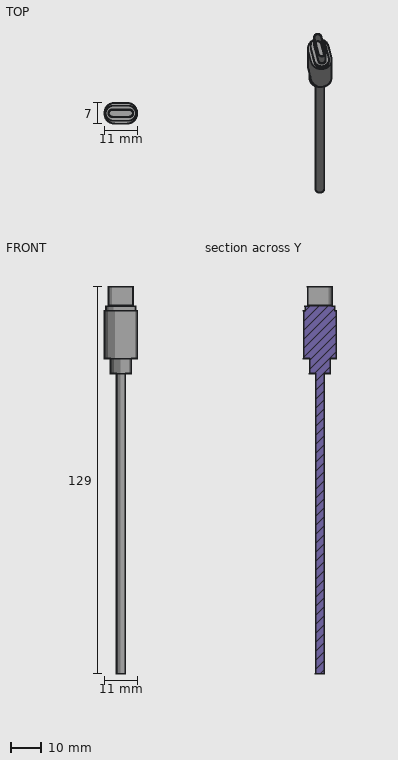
import cadquery as cq

overall_length = 129.0

cable_diameter = 3.0
cable_length = 100.0

relief_length = 5.0

grip_width = 11.0
grip_depth = 7.0
grip_length = 16.0
relief_diameter = grip_depth

collar_width = 10.0
collar_depth = 5.0
collar_length = 1.5

plug_width = 8.34
plug_depth = 2.56
plug_wall = 0.2

relief_bottom = cable_length
grip_bottom = relief_bottom + relief_length
collar_bottom = grip_bottom + grip_length
plug_bottom = collar_bottom + collar_length
plug_length = overall_length - plug_bottom


def cylinder(diameter, bottom, length):
    """Round bar on the Z axis."""
    return cq.Workplane("XY").workplane(offset=bottom).circle(diameter / 2).extrude(length)


def obround(width, depth, bottom, length):
    """Bar on the Z axis with flat front and back and full-round ends in X."""
    return cq.Workplane("XY").workplane(offset=bottom).slot2D(width, depth).extrude(length)


def plug_shell():
    """Obround tube, open at the top, with a floor as thick as its wall."""
    outside = obround(plug_width, plug_depth, plug_bottom, plug_length)
    cavity = obround(
        plug_width - 2 * plug_wall,
        plug_depth - 2 * plug_wall,
        plug_bottom + plug_wall,
        plug_length - plug_wall,
    )
    return outside.cut(cavity)


cable = cylinder(cable_diameter, 0, cable_length)
relief = cylinder(relief_diameter, relief_bottom, relief_length)
grip = obround(grip_width, grip_depth, grip_bottom, grip_length)
collar = obround(collar_width, collar_depth, collar_bottom, collar_length)

result = cable.union(relief).union(grip).union(collar).union(plug_shell())